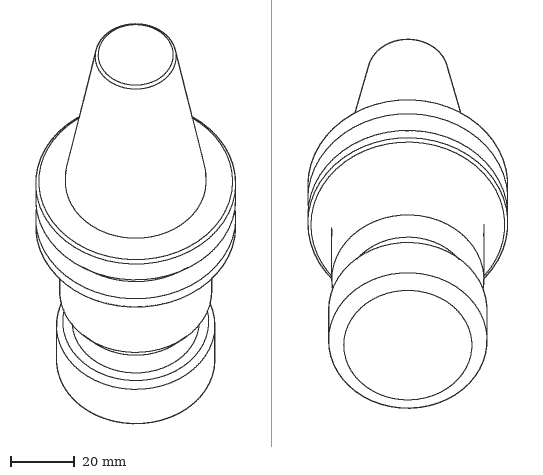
import cadquery as cq

total_height = 165.4
gauge_height = 100.0
flange_top = 97.9
groove_upper_edge = 88.5
groove_floor_top = 86.0
groove_floor_bottom = 80.9
groove_lower_edge = 78.4
flange_bottom = 73.0
body_bottom = 39.5
neck_top = 32.6
nut_top = 23.2
nut_lead_in_height = 2.8

flange_radius = 63.0 / 2
gauge_radius = 22.2
groove_radius = 26.6
body_radius = 24.0
neck_radius = 20.0
nut_radius = 25.0
nut_face_radius = 20.2

taper_per_height = 7 / 48
tip_chamfer = 0.8
flange_chamfer = 1.0
body_fillet = 2.0
nut_chamfer = 2.0

tip_radius = gauge_radius - (total_height - gauge_height) * taper_per_height


def revolve_outline(outline):
    """Close an outline in the XZ plane and turn it around the Z axis."""
    return outline.close().revolve(360, (0, 0, 0), (0, 1, 0))


def make_nut():
    nut = cq.Workplane("XY").circle(nut_radius).extrude(nut_top)
    nut = nut.faces(">Z").chamfer(nut_chamfer)
    return nut.faces("<Z").chamfer(nut_lead_in_height, nut_radius - nut_face_radius)


def make_body():
    """Neck, cone and cylindrical body, blended into the flange above."""
    outline = (
        cq.Workplane("XZ")
        .moveTo(0, nut_top)
        .lineTo(neck_radius, nut_top)
        .lineTo(neck_radius, neck_top)
        .lineTo(body_radius, body_bottom)
        .lineTo(body_radius, flange_bottom - body_fillet)
        .radiusArc((body_radius + body_fillet, flange_bottom), body_fillet)
        .lineTo(0, flange_bottom)
    )
    return revolve_outline(outline)


def make_flange():
    """Chamfered flange with a V-shaped gripper groove."""
    flange = (
        cq.Workplane("XY")
        .workplane(offset=flange_bottom)
        .circle(flange_radius)
        .extrude(flange_top - flange_bottom)
        .edges()
        .chamfer(flange_chamfer)
    )
    groove = (
        cq.Workplane("XZ")
        .moveTo(flange_radius, groove_lower_edge)
        .lineTo(groove_radius, groove_floor_bottom)
        .lineTo(groove_radius, groove_floor_top)
        .lineTo(flange_radius, groove_upper_edge)
    )
    return flange.cut(revolve_outline(groove))


def make_taper():
    """Short cylindrical collar, then the steep taper shank."""
    outline = (
        cq.Workplane("XZ")
        .moveTo(0, flange_top)
        .lineTo(gauge_radius, flange_top)
        .lineTo(gauge_radius, gauge_height)
        .lineTo(tip_radius, total_height)
        .lineTo(0, total_height)
    )
    return revolve_outline(outline).faces(">Z").chamfer(tip_chamfer)


result = make_nut().union(make_body()).union(make_flange()).union(make_taper())